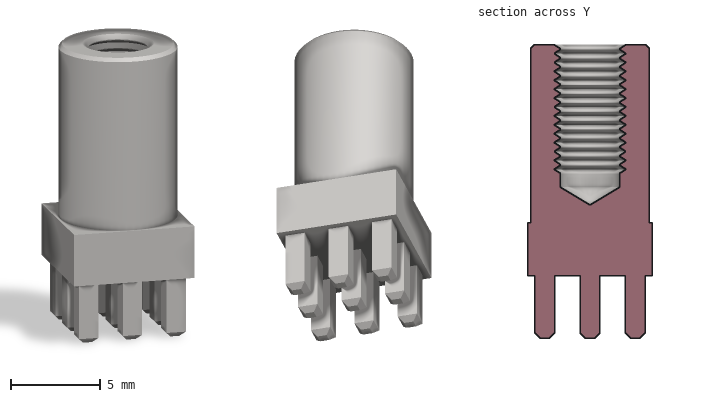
import cadquery as cq
import math

block_side = 7.0
block_height = 3.0
total_height = 16.5
pin_length = 3.5
barrel_diameter = 6.7
barrel_chamfer = 0.2

pin_width = 1.13
pin_pitch = 2.54
pins_per_side = 3
pin_tip_chamfer = 0.3

bore_diameter = 3.3
bore_depth = 8.0
bore_tip_angle = 118.0

thread_diameter = 4.0
thread_pitch = 0.5
thread_crest_height = 0.05
thread_groove_count = 14

barrel_top = total_height - pin_length

bore_radius = bore_diameter / 2
thread_radius = thread_diameter / 2
flank_height = (thread_pitch - thread_crest_height) / 2
bore_tip_height = bore_radius / math.tan(math.radians(bore_tip_angle / 2))


def make_body():
    """Square block carrying a round barrel with a chamfered top rim."""
    block = cq.Workplane("XY").rect(block_side, block_side).extrude(block_height)
    barrel = (
        cq.Workplane("XY")
        .circle(barrel_diameter / 2)
        .extrude(barrel_top)
        .faces(">Z")
        .chamfer(barrel_chamfer)
    )
    return block.union(barrel)


def make_pins():
    """Square grid of square pins with bevelled tips."""
    return (
        cq.Workplane("XY")
        .rarray(pin_pitch, pin_pitch, pins_per_side, pins_per_side)
        .rect(pin_width, pin_width)
        .extrude(-pin_length)
        .faces("<Z")
        .chamfer(pin_tip_chamfer)
    )


def make_bore():
    """Blind bore with a countersunk mouth, ring-shaped thread grooves and a conical end."""
    bore_bottom = barrel_top - bore_depth
    mouth_bottom = barrel_top - flank_height
    profile = (
        cq.Workplane("XZ")
        .moveTo(0, barrel_top)
        .lineTo(thread_radius, barrel_top)
        .lineTo(bore_radius, mouth_bottom)
    )
    for index in range(thread_groove_count):
        groove_top = mouth_bottom - thread_crest_height - index * thread_pitch
        profile = (
            profile.lineTo(bore_radius, groove_top)
            .lineTo(thread_radius, groove_top - flank_height)
            .lineTo(bore_radius, groove_top - 2 * flank_height)
        )
    profile = profile.lineTo(bore_radius, bore_bottom).lineTo(0, bore_bottom - bore_tip_height)
    return profile.close().revolve(360, (0, 0, 0), (0, 1, 0))


result = make_body().union(make_pins()).cut(make_bore())